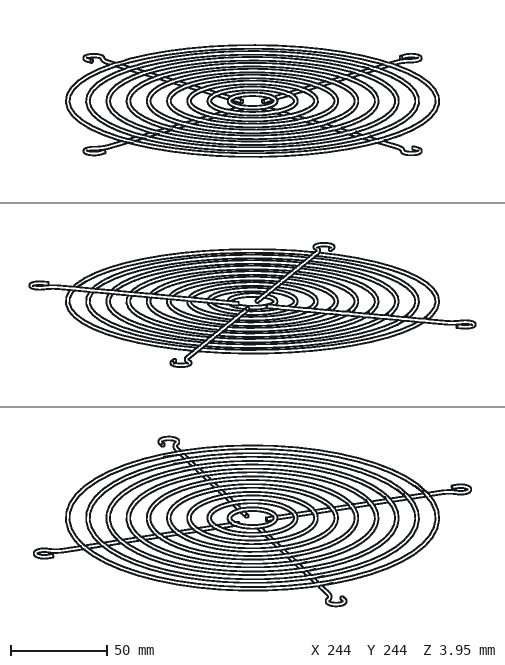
import cadquery as cq
import math

WIRE_DIAMETER = 2.0
WIRE_RADIUS = WIRE_DIAMETER / 2
WELD_OVERLAP = 0.05
OVERALL_WIDTH = 244.0

RING_COUNT = 9
INNER_RING_RADIUS = 12.0
RING_PITCH = 10.5
RING_HEIGHT = WIRE_DIAMETER - WELD_OVERLAP

SPOKE_COUNT = 4
SPOKE_INNER_END = 7.75

HOOK_RADIUS = 4.5
NECK_RADIUS = 11.0
HOOK_TIP_LENGTH = 3.0


def make_ring(radius):
    """Closed round-wire ring above the spokes."""
    ring = cq.Solid.makeTorus(radius, WIRE_RADIUS)
    return ring.translate(cq.Vector(0, 0, RING_HEIGHT))


def make_spoke():
    """Spoke along +Y: straight run, neck bend, open hook and straight tip."""
    hook_center_y = OVERALL_WIDTH / 2 - WIRE_RADIUS - HOOK_RADIUS

    center_distance = NECK_RADIUS + HOOK_RADIUS
    neck_start_y = hook_center_y - math.sqrt(center_distance**2 - NECK_RADIUS**2)
    neck_angle = math.acos(NECK_RADIUS / center_distance)
    neck_end = (
        HOOK_RADIUS * math.cos(neck_angle),
        hook_center_y - HOOK_RADIUS * math.sin(neck_angle),
    )
    neck_middle = (
        NECK_RADIUS * (1 - math.cos(neck_angle / 2)),
        neck_start_y + NECK_RADIUS * math.sin(neck_angle / 2),
    )

    hook_middle_angle = (math.pi - neck_angle) / 2
    hook_middle = (
        HOOK_RADIUS * math.cos(hook_middle_angle),
        hook_center_y + HOOK_RADIUS * math.sin(hook_middle_angle),
    )
    hook_end = (-HOOK_RADIUS, hook_center_y)

    centerline = (
        cq.Workplane("XY")
        .moveTo(0, SPOKE_INNER_END)
        .lineTo(0, neck_start_y)
        .threePointArc(neck_middle, neck_end)
        .threePointArc(hook_middle, hook_end)
        .lineTo(-HOOK_RADIUS, hook_center_y - HOOK_TIP_LENGTH)
    )
    inner_end_plane = cq.Workplane("XZ", origin=(0, SPOKE_INNER_END, 0))
    return inner_end_plane.circle(WIRE_RADIUS).sweep(centerline)


def make_guard():
    """Join the rings to the evenly spaced spokes."""
    spoke = make_spoke()
    guard = cq.Workplane()
    for index in range(RING_COUNT):
        guard = guard.add(make_ring(INNER_RING_RADIUS + index * RING_PITCH))
    for index in range(SPOKE_COUNT):
        angle = index * 360 / SPOKE_COUNT
        guard = guard.add(spoke.rotate((0, 0, 0), (0, 0, 1), angle))
    return guard.combine()


result = make_guard()